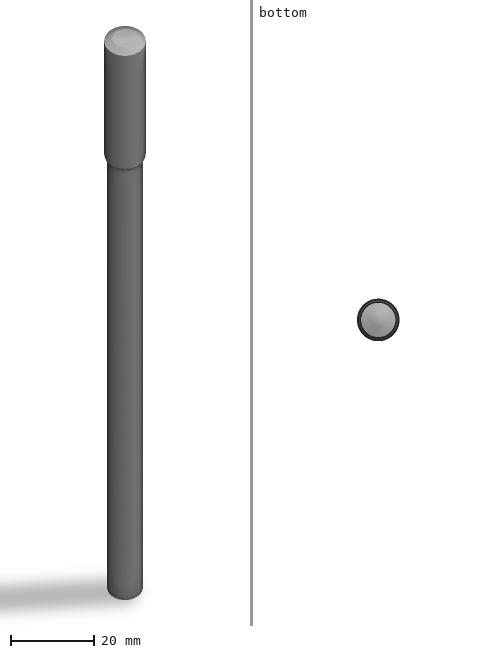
import cadquery as cq

total_length = 192.0
drill_diameter = 8.6
shank_diameter = 10.0
back_taper = 0.1
stem_diameter = drill_diameter - back_taper

point_height = 1.5
cutting_top = 105.5
neck_bottom = 146.1
neck_top = 150.7
grip_bottom = 151.3

lower_bevel_height = 0.5
lower_bevel_width = 0.2
top_flat_diameter = 6.0
top_cone_height = 1.0


def revolve_profile(points):
    """Revolve a closed (radius, height) outline around the Z axis."""
    return cq.Workplane("XZ").polyline(points).close().revolve(360, (0, 0), (0, 1))


def make_cutting_part():
    """Slightly back-tapered rod with a shallow conical point at its lower end."""
    return revolve_profile([
        (0, 0),
        (drill_diameter / 2, point_height),
        (stem_diameter / 2, cutting_top),
        (0, cutting_top),
    ])


def make_shank():
    """Slender stem, slightly thicker neck and a bevelled gripping end."""
    stem_radius = stem_diameter / 2
    neck_radius = drill_diameter / 2
    grip_radius = shank_diameter / 2
    return revolve_profile([
        (0, cutting_top),
        (stem_radius, cutting_top),
        (stem_radius, neck_bottom),
        (neck_radius, neck_bottom),
        (neck_radius, neck_top),
        (grip_radius - lower_bevel_width, grip_bottom),
        (grip_radius, grip_bottom + lower_bevel_height),
        (grip_radius, total_length - top_cone_height),
        (top_flat_diameter / 2, total_length),
        (0, total_length),
    ])


cutting_part = make_cutting_part()
shank = make_shank()

result = cq.Compound.makeCompound([cutting_part.val(), shank.val()])